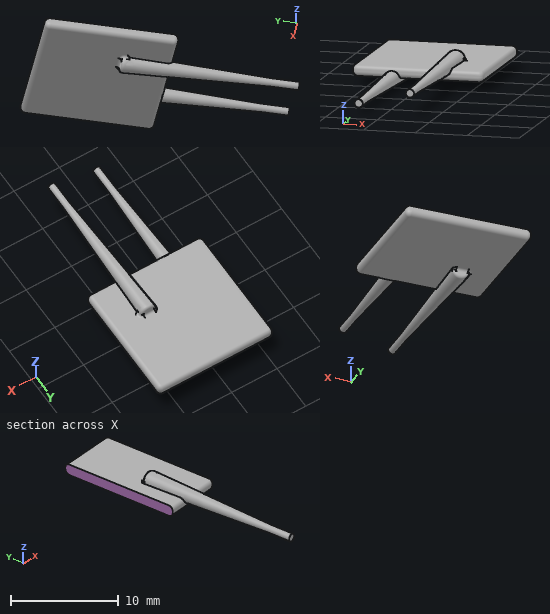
import cadquery as cq
import math

BODY_SIDE = 12.7
BODY_THICKNESS = 1.2
BODY_ROUND = 0.5

OVERALL_LENGTH = 24.8
OVERALL_HEIGHT = 3.0
LEAD_PITCH = 4.95
WIRE_DIAMETER = 0.81
BARE_WIRE_LENGTH = 2.54
COATING_OVERLAP = 4.85
COATING_LAND = 0.15
COATING_END_ROUND = 0.3
FLARE_RADIUS = 0.3

FACE_Z = BODY_THICKNESS / 2
LEAD_X = LEAD_PITCH / 2
WIRE_RADIUS = WIRE_DIAMETER / 2
COATING_RADIUS = OVERALL_HEIGHT / 2 - FACE_Z
END_FLAT_RADIUS = COATING_RADIUS - COATING_END_ROUND

BODY_FRONT_Y = -BODY_SIDE / 2
WIRE_TIP_Y = BODY_SIDE / 2 - OVERALL_LENGTH
TAPER_START_Y = WIRE_TIP_Y + BARE_WIRE_LENGTH
COATING_END_Y = BODY_FRONT_Y + COATING_OVERLAP
LAND_END_Y = COATING_END_Y - COATING_END_ROUND
TAPER_END_Y = LAND_END_Y - COATING_LAND


def make_body():
    """Square plate with every edge rounded."""
    return cq.Workplane("XY").box(BODY_SIDE, BODY_SIDE, BODY_THICKNESS).edges().fillet(BODY_ROUND)


def make_lead():
    """Upper lead, turned about its own axis, which lies in the upper body face."""
    half_profile = (
        cq.Workplane("XY", origin=(LEAD_X, 0, FACE_Z))
        .moveTo(0, WIRE_TIP_Y)
        .lineTo(WIRE_RADIUS, WIRE_TIP_Y)
        .lineTo(WIRE_RADIUS, TAPER_START_Y)
        .lineTo(COATING_RADIUS, TAPER_END_Y)
        .lineTo(COATING_RADIUS, LAND_END_Y)
        .radiusArc((END_FLAT_RADIUS, COATING_END_Y), -COATING_END_ROUND)
        .lineTo(0, COATING_END_Y)
        .close()
    )
    return half_profile.revolve(360, (0, 0, 0), (0, 1, 0))


def section_beside_end():
    """Flare section against the flat coating end: (foot offset, touch offset, touch height).

    Offsets are measured outward from the centre of the end rounding.
    """
    return COATING_END_ROUND + FLARE_RADIUS, COATING_END_ROUND, FLARE_RADIUS


def section_beside_side():
    """Flare section against the round coating side, tangent to it and to the body face.

    Offsets are measured outward from the same line as for the flat end.
    """
    centre_distance = COATING_RADIUS + FLARE_RADIUS
    foot = math.sqrt(centre_distance**2 - FLARE_RADIUS**2)
    touch_share = COATING_RADIUS / centre_distance
    touch_height = FLARE_RADIUS * touch_share
    return foot - END_FLAT_RADIUS, foot * touch_share - END_FLAT_RADIUS, touch_height


def draw_section(workplane, section):
    """Concave fillet section standing on the body face, closed inside the coating."""
    foot, touch, height = section
    return (
        workplane.lineTo(foot, 0)
        .radiusArc((touch, height), FLARE_RADIUS)
        .lineTo(0, height)
        .close()
    )


def section_plane(x, y, outward, normal):
    """Workplane whose first axis points outward and whose second axis is +Z."""
    return cq.Workplane(cq.Plane(origin=(x, y, FACE_Z), xDir=outward, normal=normal))


def make_corner(x):
    """Flare swept round a corner of the coating end, over the half turn facing +Y."""
    section = draw_section(section_plane(x, LAND_END_Y, (1, 0, 0), (0, -1, 0)), section_beside_side())
    return section.revolve(180, (0, 0, 0), (0, 1, 0))


def make_flare_footprint():
    """Prism that cuts the flare ends off at a slant on both sides of the lead."""
    left_wall_x = LEAD_X - COATING_RADIUS
    right_wall_x = LEAD_X + COATING_RADIUS
    back_y = COATING_END_Y + FLARE_RADIUS
    outline = [
        (LEAD_X, TAPER_END_Y - FLARE_RADIUS),
        (right_wall_x, TAPER_END_Y - FLARE_RADIUS),
        (right_wall_x + FLARE_RADIUS, TAPER_END_Y),
        (right_wall_x + FLARE_RADIUS, back_y),
        (LEAD_X - END_FLAT_RADIUS, back_y),
        (left_wall_x, COATING_END_Y),
        (left_wall_x, LAND_END_Y),
        (LEAD_X, LAND_END_Y),
    ]
    return cq.Workplane("XY", origin=(0, 0, FACE_Z)).polyline(outline).close().extrude(FLARE_RADIUS)


def make_flare():
    """Concave blend from the body face to the coating end and the outer side of the coating."""
    left_corner_x = LEAD_X - END_FLAT_RADIUS
    right_corner_x = LEAD_X + END_FLAT_RADIUS
    end_strip = draw_section(
        section_plane(left_corner_x, LAND_END_Y, (0, 1, 0), (1, 0, 0)), section_beside_end()
    ).extrude(2 * END_FLAT_RADIUS)
    side_length = LAND_END_Y - TAPER_END_Y + FLARE_RADIUS
    side_strip = draw_section(
        section_plane(right_corner_x, LAND_END_Y, (1, 0, 0), (0, -1, 0)), section_beside_side()
    ).extrude(side_length)
    flare = end_strip.union(make_corner(left_corner_x)).union(make_corner(right_corner_x)).union(side_strip)
    return flare.intersect(make_flare_footprint())


upper_lead = make_lead().union(make_flare())
lower_lead = upper_lead.rotate((0, 0, 0), (0, 1, 0), 180)
result = make_body().union(upper_lead).union(lower_lead)